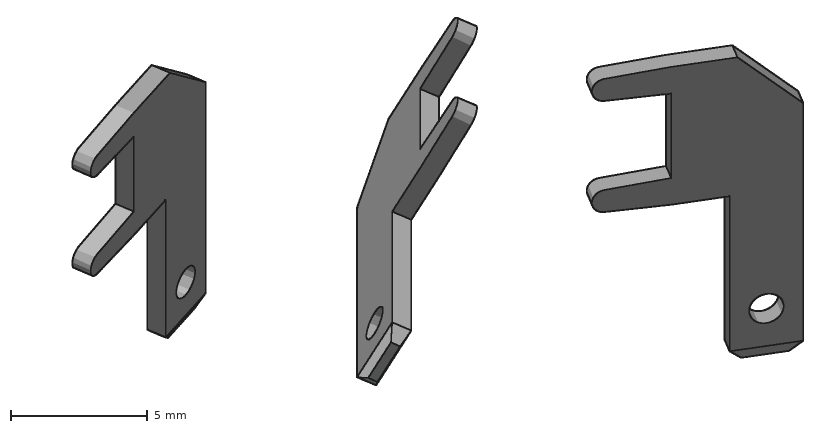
import cadquery as cq

height = 13.7
thickness = 0.8
total_depth = 8.0

head_depth = 5.0
head_height = 6.2
corner_cut = 2.5

prong_root = 1.2
tip_radius = 0.5

tab_width = 2.8
point_height = 0.52
point_side_inset = 0.5
point_face_inset = 0.2

hole_diameter = 1.3
hole_height = 2.2

head_bottom = height - head_height
front_edge = -head_depth
tip_end = -total_depth
tip_center_y = tip_end + tip_radius


def add_prong(outline, root_top):
    """Continue the outline from the upper root of a prong to its lower root."""
    axis_z = root_top - prong_root / 2
    return (
        outline.lineTo(tip_center_y, axis_z + tip_radius)
        .threePointArc((tip_end, axis_z), (tip_center_y, axis_z - tip_radius))
        .lineTo(front_edge, root_top - prong_root)
    )


def make_plate():
    """Flat plate with head, prongs and the straight part of the tab."""
    lower_root_top = head_bottom + prong_root
    outline = (
        cq.Workplane("YZ", origin=(-thickness / 2, 0, 0))
        .moveTo(0, point_height)
        .lineTo(0, height - corner_cut)
        .lineTo(-corner_cut, height)
        .lineTo(front_edge, height)
    )
    outline = add_prong(outline, height)
    outline = outline.lineTo(front_edge, lower_root_top)
    outline = add_prong(outline, lower_root_top)
    outline = outline.lineTo(-tab_width, head_bottom).lineTo(-tab_width, point_height).close()
    return outline.extrude(thickness)


def make_point():
    """Lower end of the tab, tapering on all four sides."""
    return (
        cq.Workplane("XY", origin=(0, -tab_width / 2, 0))
        .rect(thickness - 2 * point_face_inset, tab_width - 2 * point_side_inset)
        .workplane(offset=point_height)
        .rect(thickness, tab_width)
        .loft(ruled=True)
    )


def make_hole():
    """Cylinder that cuts the hole through the middle of the tab."""
    return (
        cq.Workplane("YZ", origin=(-thickness / 2, 0, 0))
        .center(-tab_width / 2, hole_height)
        .circle(hole_diameter / 2)
        .extrude(thickness)
    )


result = make_plate().union(make_point()).cut(make_hole())